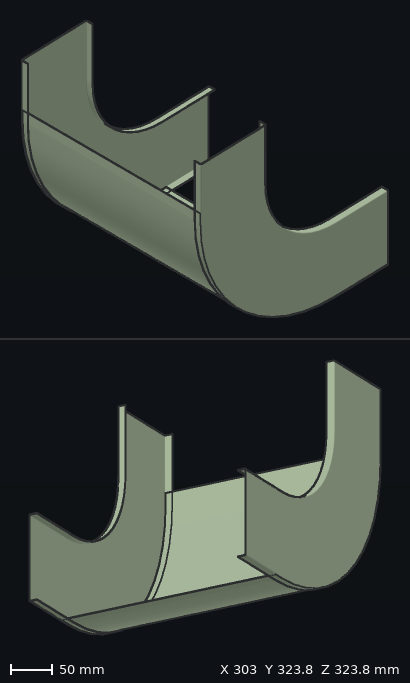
import cadquery as cq
import math

overall_width = 303.0
channel_depth = 113.0
flange_width = 11.0
sheet_thickness = 1.0
bend_radius = 2.0
outer_elbow_radius = 233.75
leg_length = 90.0
plate_thickness = 1.0
plate_leg_length = 15.0

elbow_center = outer_elbow_radius
half_width = overall_width / 2


def elbow_path(radius, straight):
    """Path down a vertical leg, round a quarter turn and out along +Y."""
    near = elbow_center - radius
    far = elbow_center + straight
    middle = elbow_center - radius * math.sqrt(0.5)
    return (
        cq.Workplane("YZ")
        .moveTo(near, far)
        .lineTo(near, elbow_center)
        .threePointArc((middle, middle), (elbow_center, near))
        .lineTo(far, near)
    )


def side_channel(side):
    """C-shaped side rail with flanges turned inward; side is -1 (-X) or +1 (+X)."""
    outside = side * half_width
    inside = outside - side * sheet_thickness
    free_edge = outside - side * flange_width
    fold_end = outside - side * bend_radius
    fold_middle = bend_radius * (1 - math.sqrt(0.5))
    inner_fold_radius = bend_radius - sheet_thickness
    inner_fold_middle = bend_radius - inner_fold_radius * math.sqrt(0.5)
    depth = channel_depth

    section = (
        cq.Workplane("XY", origin=(0, 0, elbow_center + leg_length))
        .moveTo(free_edge, 0)
        .lineTo(fold_end, 0)
        .threePointArc((outside - side * fold_middle, fold_middle), (outside, bend_radius))
        .lineTo(outside, depth - bend_radius)
        .threePointArc((outside - side * fold_middle, depth - fold_middle), (fold_end, depth))
        .lineTo(free_edge, depth)
        .lineTo(free_edge, depth - sheet_thickness)
        .lineTo(fold_end, depth - sheet_thickness)
        .threePointArc(
            (outside - side * inner_fold_middle, depth - inner_fold_middle),
            (inside, depth - bend_radius),
        )
        .lineTo(inside, bend_radius)
        .threePointArc(
            (outside - side * inner_fold_middle, inner_fold_middle),
            (fold_end, sheet_thickness),
        )
        .lineTo(free_edge, sheet_thickness)
        .close()
    )
    return section.sweep(elbow_path(outer_elbow_radius, leg_length))


def bottom_plate():
    """Curved plate lying on the inside of both outer flanges, between the folds."""
    plate_width = overall_width - 2 * bend_radius
    section = cq.Workplane("XY", origin=(0, 0, elbow_center + plate_leg_length)).center(
        0, sheet_thickness + plate_thickness / 2
    ).rect(plate_width, plate_thickness)
    return section.sweep(elbow_path(outer_elbow_radius - sheet_thickness, plate_leg_length))


channels = [side_channel(side) for side in (-1, 1)]
plate = bottom_plate()

result = cq.Compound.makeCompound([*(channel.val() for channel in channels), plate.val()])